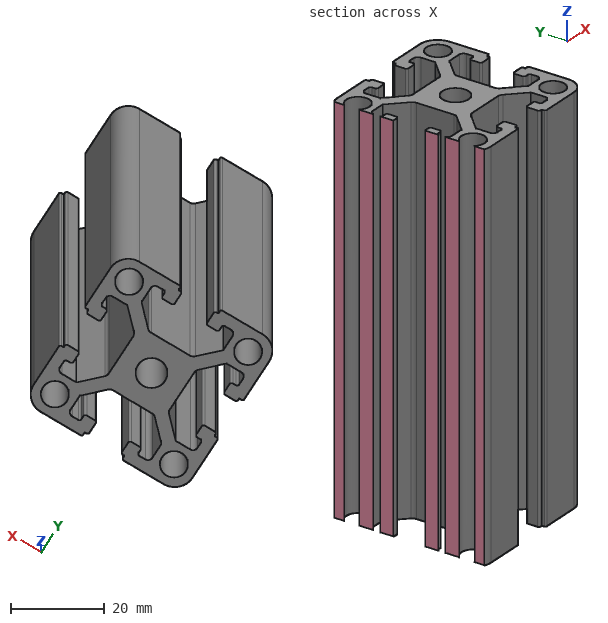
import cadquery as cq

side = 40.0
length = 100.0
corner_radius = 4.5
half_side = side / 2

center_bore_diameter = 6.8
corner_bore_diameter = 6.0
corner_bore_offset = 15.0

mouth_half_width = 5.0
lip_half_width = 4.1
lip_inner_half_width = 7.2
cavity_half_width = 10.3

step_depth = 1.0
step_level = half_side - step_depth
lip_level = 15.5
ceiling_level = 17.3
floor_level = 7.7

web_offset = 2.2
floor_half_width = floor_level - web_offset
web_top_level = cavity_half_width + web_offset

mouth_round = 0.4
lip_round = 0.5
cavity_round = 1.1
floor_round = 1.5

edge_reach = 0.1

slot_angles = (0, 90, 180, 270)


def round_edge_pair(solid, x, y, radius):
    """Round the lengthwise edges at (x, y) and at its mirror image (-x, y)."""
    for edge_x in (x, -x):
        near_edge = cq.selectors.BoxSelector(
            (edge_x - edge_reach, y - edge_reach, 0),
            (edge_x + edge_reach, y + edge_reach, length),
        )
        solid = solid.edges("|Z").edges(near_edge).fillet(radius)
    return solid


def make_slot():
    """Solid that fills the T-slot on the +Y side."""
    right_half = [
        (mouth_half_width, half_side),
        (mouth_half_width, step_level),
        (lip_half_width, step_level),
        (lip_half_width, lip_level),
        (lip_inner_half_width, lip_level),
        (lip_inner_half_width, ceiling_level),
        (cavity_half_width, ceiling_level),
        (cavity_half_width, web_top_level),
        (floor_half_width, floor_level),
    ]
    left_half = [(-x, y) for x, y in reversed(right_half)]
    slot = cq.Workplane("XY").polyline(right_half + left_half).close().extrude(length)

    slot = round_edge_pair(slot, lip_half_width, step_level, lip_round)
    slot = round_edge_pair(slot, lip_half_width, lip_level, lip_round)
    slot = round_edge_pair(slot, lip_inner_half_width, lip_level, lip_round)
    slot = round_edge_pair(slot, lip_inner_half_width, ceiling_level, lip_round)
    slot = round_edge_pair(slot, cavity_half_width, ceiling_level, cavity_round)
    slot = round_edge_pair(slot, floor_half_width, floor_level, floor_round)
    return slot


bar = cq.Workplane("XY").rect(side, side).extrude(length)
bar = bar.edges("|Z").fillet(corner_radius)

slot = make_slot()
for angle in slot_angles:
    bar = bar.cut(slot.rotate((0, 0, 0), (0, 0, 1), angle))

for _ in slot_angles:
    bar = round_edge_pair(bar, mouth_half_width, half_side, mouth_round)
    bar = bar.rotate((0, 0, 0), (0, 0, 1), 90)

bar = bar.faces(">Z").workplane(origin=(0, 0, length)).hole(center_bore_diameter)

bore_spacing = 2 * corner_bore_offset
bar = (
    bar.faces(">Z")
    .workplane(origin=(0, 0, length))
    .rect(bore_spacing, bore_spacing, forConstruction=True)
    .vertices()
    .hole(corner_bore_diameter)
)

result = bar